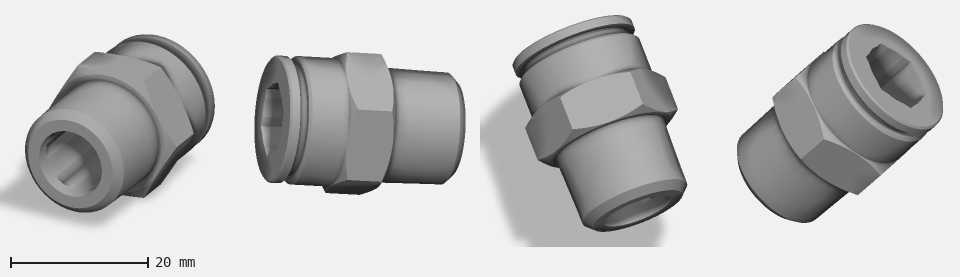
import cadquery as cq
import math

total_length = 27.4
thread_chamfer = 1.2
hex_start = 11.5
hex_end = 18.5
body_end = 24.5
neck_end = 25.7
collar_start = 25.9

thread_tip_radius = 8.2
thread_base_radius = 8.45
body_radius = 9.4
body_chamfer = 0.38
neck_radius = 8.2
neck_chamfer = 0.22
stem_radius = neck_radius - neck_chamfer
collar_radius = 9.32
collar_chamfer = 0.27

hex_across_flats = 19.0
hex_corner_radius = hex_across_flats / math.sqrt(3)
hex_chamfer_angle = math.radians(30)
hex_chamfer_height = (hex_corner_radius - body_radius) * math.tan(hex_chamfer_angle)

bore_radius = 5.2
key_across_flats = 10.0
key_start = 2.15


def revolve_profile(points):
    """Revolve (radius, y) points, closed along the axis, around Y."""
    outline = [(0, points[0][1])] + points + [(0, points[-1][1])]
    return cq.Workplane("XY").polyline(outline).close().revolve(360, (0, 0, 0), (0, 1, 0))


def hex_prism(across_flats, start, end):
    """Hexagonal prism along Y with corners on the X axis."""
    plane = cq.Plane(origin=(0, start, 0), xDir=(1, 0, 0), normal=(0, 1, 0))
    corner_diameter = across_flats * 2 / math.sqrt(3)
    return cq.Workplane(plane).polygon(6, corner_diameter).extrude(end - start)


def make_turned_body():
    """Tapered thread, cylindrical body, neck and release collar."""
    return revolve_profile([
        (thread_tip_radius - thread_chamfer, 0),
        (thread_tip_radius, thread_chamfer),
        (thread_base_radius, hex_start),
        (body_radius, hex_start),
        (body_radius, body_end - body_chamfer),
        (body_radius - body_chamfer, body_end),
        (neck_radius, body_end),
        (neck_radius, neck_end - neck_chamfer),
        (stem_radius, neck_end),
        (stem_radius, collar_start),
        (collar_radius, collar_start),
        (collar_radius, total_length - collar_chamfer),
        (collar_radius - collar_chamfer, total_length),
    ])


def make_nut():
    """Hexagon whose corners are trimmed by a cone at both ends."""
    cone_envelope = revolve_profile([
        (body_radius, hex_start),
        (hex_corner_radius, hex_start + hex_chamfer_height),
        (hex_corner_radius, hex_end - hex_chamfer_height),
        (body_radius, hex_end),
    ])
    return hex_prism(hex_across_flats, hex_start, hex_end).intersect(cone_envelope)


def make_passage():
    """Round through bore joined with the key hexagon behind the threaded mouth."""
    bore = revolve_profile([(bore_radius, 0), (bore_radius, total_length)])
    return bore.union(hex_prism(key_across_flats, key_start, total_length))


result = make_turned_body().union(make_nut()).cut(make_passage())